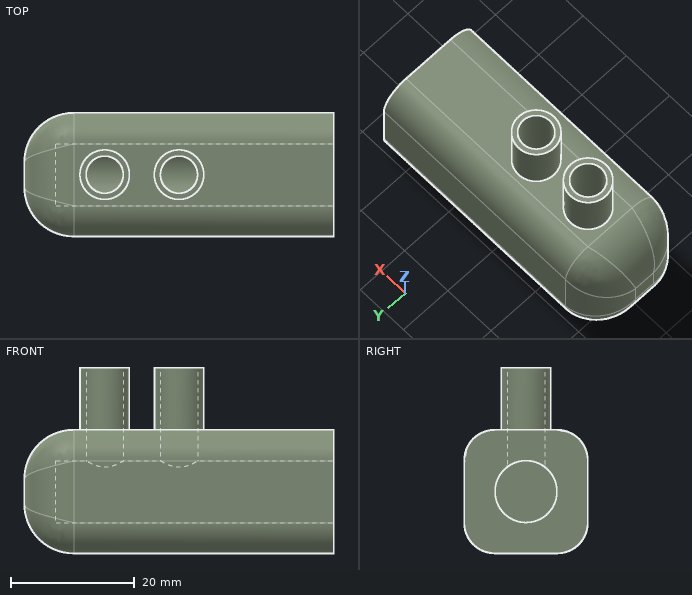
import cadquery as cq

length = 50.0
width = 20.0
edge_radius = 5.0
nose_radius = 8.0

chamber_diameter = 10.0
nose_wall = (width - chamber_diameter) / 2

port_diameter = 8.0
port_bore_diameter = 6.0
port_height = 10.0
first_port_x = 13.0
port_spacing = 12.0
port_count = 2

top_z = width / 2
port_points = [(first_port_x + i * port_spacing, 0) for i in range(port_count)]


def make_bar():
    """Bar with its long edges and its closed end rounded."""
    bar = cq.Workplane("YZ").rect(width, width).extrude(length)
    return bar.edges("|X").fillet(edge_radius).faces("<X").edges().fillet(nose_radius)


def make_ports():
    """Port tubes before boring, standing on the top face."""
    base = cq.Workplane("XY").workplane(offset=top_z)
    return base.pushPoints(port_points).circle(port_diameter / 2).extrude(port_height)


def make_port_bores():
    """Bores that run from the port mouths down to the chamber axis."""
    base = cq.Workplane("XY")
    return base.pushPoints(port_points).circle(port_bore_diameter / 2).extrude(top_z + port_height)


def make_chamber():
    """Blind bore from the nose wall out through the open end."""
    base = cq.Workplane("YZ").workplane(offset=nose_wall)
    return base.circle(chamber_diameter / 2).extrude(length - nose_wall)


def make_housing():
    """Bar and ports as one solid, bored out."""
    return make_bar().union(make_ports()).cut(make_chamber()).cut(make_port_bores())


housing = make_housing()

result = cq.Compound.makeCompound([housing.val()])